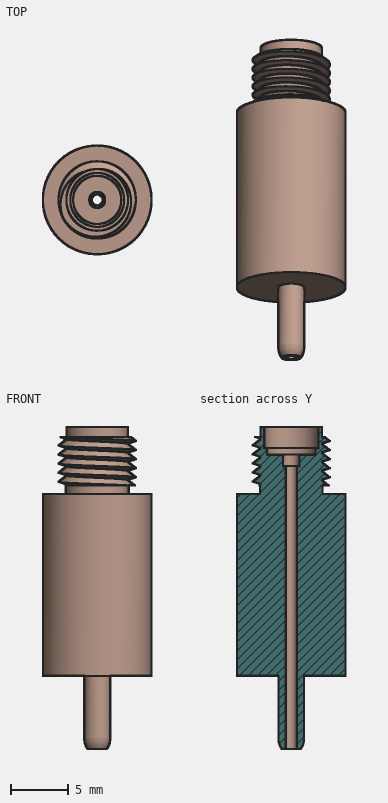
import cadquery as cq

body_length = 15.85
pin_length = 6.37
neck_length = 5.85
body_bottom = -body_length / 2
body_top = body_length / 2
pin_bottom = body_bottom - pin_length
neck_top = body_top + neck_length

body_diameter = 9.5
pin_diameter = 2.3
neck_diameter = 5.38
neck_base_diameter = 5.5
neck_base_length = 0.74

tip_length = 0.93
tip_flat_diameter = 1.66

socket_diameter = 4.7
socket_depth = 1.86
socket_floor_diameter = 4.2
socket_floor_depth = 2.42
bore_mouth_diameter = 1.4
bore_mouth_depth = 1.0
bore_diameter = 0.95

thread_diameter = 6.74
thread_pitch = 0.79
thread_relief = 0.9
thread_top = neck_top - thread_relief
thread_bottom = body_top + neck_base_length
upper_flank_height = 0.55
lower_flank_height = 0.22
root_sink = 0.02
root_overlap = 0.2
crest_start_height = -0.12


def cylinder(diameter, bottom, top):
    return cq.Workplane("XY").workplane(offset=bottom).circle(diameter / 2).extrude(top - bottom)


def make_pin():
    pin_radius = pin_diameter / 2
    return (
        cq.Workplane("XZ")
        .moveTo(0, body_bottom)
        .lineTo(pin_radius, body_bottom)
        .lineTo(pin_radius, pin_bottom + tip_length)
        .tangentArcPoint((tip_flat_diameter / 2, pin_bottom), relative=False)
        .lineTo(0, pin_bottom)
        .close()
        .revolve(360, (0, 0), (0, 1))
    )


def make_thread():
    root_radius = neck_diameter / 2 - root_sink
    inner_radius = neck_diameter / 2 - root_overlap
    crest_height = body_top + crest_start_height
    root_high = crest_height + upper_flank_height
    root_low = crest_height - lower_flank_height
    helix_height = neck_length + thread_pitch
    helix = cq.Wire.makeHelix(
        thread_pitch, helix_height, root_radius, center=cq.Vector(0, 0, crest_height), lefthand=True
    )
    ridge = (
        cq.Workplane("XZ")
        .polyline(
            [
                (inner_radius, root_low),
                (root_radius, root_low),
                (thread_diameter / 2, crest_height),
                (root_radius, root_high),
                (inner_radius, root_high),
            ]
        )
        .close()
        .sweep(cq.Workplane(obj=helix), isFrenet=True)
    )
    return ridge.intersect(cylinder(body_diameter, thread_bottom, thread_top))


def make_bore():
    socket_floor = neck_top - socket_floor_depth
    socket = cylinder(socket_diameter, neck_top - socket_depth, neck_top)
    socket_step = cylinder(socket_floor_diameter, socket_floor, neck_top)
    bore_mouth = cylinder(bore_mouth_diameter, socket_floor - bore_mouth_depth, neck_top)
    bore = cylinder(bore_diameter, pin_bottom, neck_top)
    return socket.union(socket_step).union(bore_mouth).union(bore)


body = cylinder(body_diameter, body_bottom, body_top)
neck = cylinder(neck_diameter, body_top, neck_top)
neck_base = cylinder(neck_base_diameter, body_top, body_top + neck_base_length)

result = neck.union(make_thread()).union(neck_base).union(body).union(make_pin()).cut(make_bore())